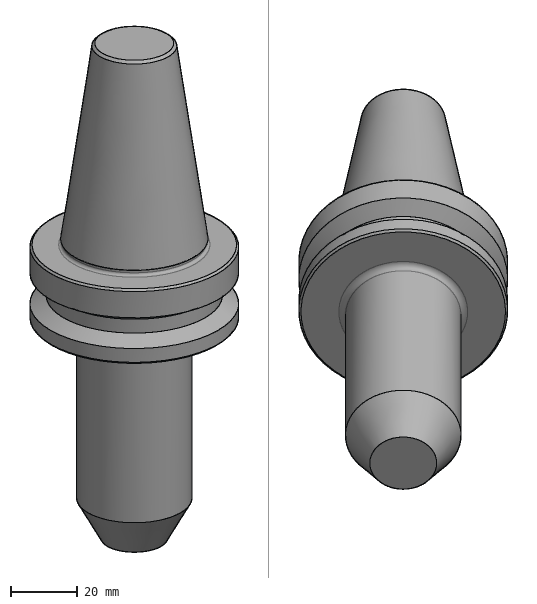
import cadquery as cq
import math

total_height = 165.4
gauge_height = 100.0
flange_top = 98.0
flange_bottom = 73.1
nose_height = 13.4

flange_radius = 63.0 / 2
gauge_radius = 44.5 / 2
neck_radius = 43.7 / 2
body_radius = 34.9 / 2
nose_tip_radius = 20.2 / 2

taper_rate = 7 / 24
top_radius = gauge_radius - (total_height - gauge_height) * taper_rate / 2

groove_center = 83.5
groove_floor_width = 4.6
groove_floor_radius = 53.3 / 2
groove_wall_angle = 30
groove_wall_rise = (flange_radius - groove_floor_radius) * math.tan(math.radians(groove_wall_angle))
floor_bottom = groove_center - groove_floor_width / 2
floor_top = groove_center + groove_floor_width / 2

rim_chamfer = 0.7
top_chamfer = 0.8
neck_fillet = 1.0
root_fillet = 2.0

arc_middle = 1 - math.sqrt(0.5)
root_arc_offset = root_fillet * arc_middle
neck_arc_offset = neck_fillet * arc_middle

profile = (
    cq.Workplane("XZ")
    .moveTo(0, 0)
    .lineTo(nose_tip_radius, 0)
    .lineTo(body_radius, nose_height)
    .lineTo(body_radius, flange_bottom - root_fillet)
    .threePointArc(
        (body_radius + root_arc_offset, flange_bottom - root_arc_offset),
        (body_radius + root_fillet, flange_bottom),
    )
    .lineTo(flange_radius - rim_chamfer, flange_bottom)
    .lineTo(flange_radius, flange_bottom + rim_chamfer)
    .lineTo(flange_radius, floor_bottom - groove_wall_rise)
    .lineTo(groove_floor_radius, floor_bottom)
    .lineTo(groove_floor_radius, floor_top)
    .lineTo(flange_radius, floor_top + groove_wall_rise)
    .lineTo(flange_radius, flange_top - rim_chamfer)
    .lineTo(flange_radius - rim_chamfer, flange_top)
    .lineTo(neck_radius + neck_fillet, flange_top)
    .threePointArc(
        (neck_radius + neck_arc_offset, flange_top + neck_arc_offset),
        (neck_radius, flange_top + neck_fillet),
    )
    .lineTo(neck_radius, gauge_height)
    .lineTo(gauge_radius, gauge_height)
    .lineTo(top_radius + top_chamfer * taper_rate / 2, total_height - top_chamfer)
    .lineTo(top_radius - top_chamfer, total_height)
    .lineTo(0, total_height)
    .close()
)

result = profile.revolve(360, (0, 0, 0), (0, 1, 0))